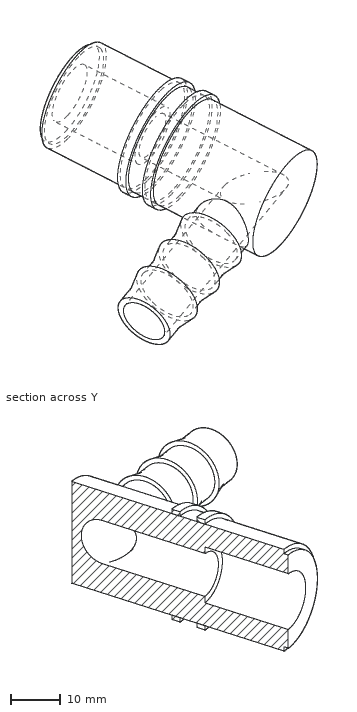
import cadquery as cq

total_length = 52.0
total_depth = 54.0

ring_diameter = 26.0
body_diameter = 24.0
nose_diameter = 22.0
nose_length = 1.0

ring_width = 2.0
ring_gap = 4.0
first_ring = 20.0
ring_starts = [first_ring, first_ring + ring_width + ring_gap]

socket_diameter = 13.0
socket_depth = first_ring
bore_diameter = 10.0

tail_diameter = 12.65
barb_diameter = 14.75
barb_length = 4.1
barb_pitch = 8.2
barb_count = 3
first_barb = 16.1
tail_x = total_length - barb_diameter / 2
tail_length = total_depth - ring_diameter / 2


def cylinder_along_x(diameter, start, length):
    return cq.Workplane("YZ").workplane(offset=start).circle(diameter / 2).extrude(length)


def make_barb(start):
    """Cone that is widest at its start and tapers to the tail diameter toward the tip."""
    return (
        cq.Workplane("XZ", origin=(tail_x, -start, 0))
        .circle(barb_diameter / 2)
        .workplane(offset=barb_length)
        .circle(tail_diameter / 2)
        .loft(ruled=True)
    )


def make_hose_tail():
    tail = cq.Workplane("XZ", origin=(tail_x, 0, 0)).circle(tail_diameter / 2).extrude(tail_length)
    for index in range(barb_count):
        tail = tail.union(make_barb(first_barb + index * barb_pitch))
    return tail


def make_flow_passage():
    """Bore along the main axis that turns with a mitred corner into the hose tail."""
    path = cq.Workplane("XY").polyline([(0, 0), (tail_x, 0), (tail_x, -tail_length)])
    return cq.Workplane("YZ").circle(bore_diameter / 2).sweep(path, transition="right")


def make_housing():
    nose = cylinder_along_x(nose_diameter, 0, nose_length)
    barrel = cylinder_along_x(body_diameter, nose_length, total_length - nose_length)
    socket = cylinder_along_x(socket_diameter, 0, socket_depth)
    outside = barrel.union(nose).union(make_hose_tail())
    return outside.cut(make_flow_passage()).cut(socket)


def make_ring(start):
    """Flat ring that fits closely around the barrel."""
    profile = cq.Workplane("YZ").workplane(offset=start)
    return profile.circle(ring_diameter / 2).circle(body_diameter / 2).extrude(ring_width)


housing = make_housing()
rings = [make_ring(start) for start in ring_starts]

result = cq.Compound.makeCompound([housing.solids().val(), *[ring.val() for ring in rings]])